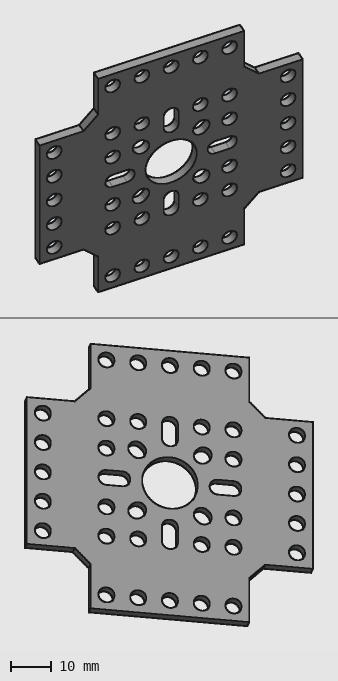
import cadquery as cq

size = 72.0
thickness = 2.5
pitch = 8.0
arm_width = 5 * pitch
corner_chamfer = pitch / 2

hole_diameter = 4.0
bore_diameter = 14.0
edge_row_offset = 4 * pitch
slot_offset = 1.75 * pitch
slot_length = pitch
diagonal_slot_radius = 11.7
diagonal_slot_length = 4.7

half_size = size / 2
half_arm = arm_width / 2
chamfer_start = half_arm + corner_chamfer


def quarter_turn(y, z, turns):
    """Rotate a point about the plate centre by whole quarter turns."""
    for _ in range(turns):
        y, z = -z, y
    return y, z


def four_fold(points):
    """Repeat the points in all four quarters of the plate."""
    return [quarter_turn(y, z, turns) for turns in range(4) for y, z in points]


def cross_plate():
    quarter_outline = [
        (half_size, -half_arm),
        (half_size, half_arm),
        (chamfer_start, half_arm),
        (half_arm, chamfer_start),
    ]
    outline = four_fold(quarter_outline)
    return cq.Workplane("YZ").polyline(outline).close().extrude(thickness / 2, both=True)


def through_workplane():
    return cq.Workplane("YZ").workplane(offset=-thickness)


def round_holes():
    edge_row = [(edge_row_offset, step * pitch) for step in range(-2, 3)]
    inner_corner = [(2 * pitch, pitch), (2 * pitch, 2 * pitch), (pitch, 2 * pitch)]
    points = four_fold(edge_row + inner_corner)
    return through_workplane().pushPoints(points).circle(hole_diameter / 2).extrude(2 * thickness)


def radial_slots(radius, length, start_angle):
    """Four slots pointing at the plate centre."""
    return (
        through_workplane()
        .polarArray(radius, start_angle, 360, 4)
        .slot2D(length, hole_diameter)
        .extrude(2 * thickness)
    )


bore = through_workplane().circle(bore_diameter / 2).extrude(2 * thickness)

result = (
    cross_plate()
    .cut(round_holes())
    .cut(bore)
    .cut(radial_slots(slot_offset, slot_length, 0))
    .cut(radial_slots(diagonal_slot_radius, diagonal_slot_length, 45))
)